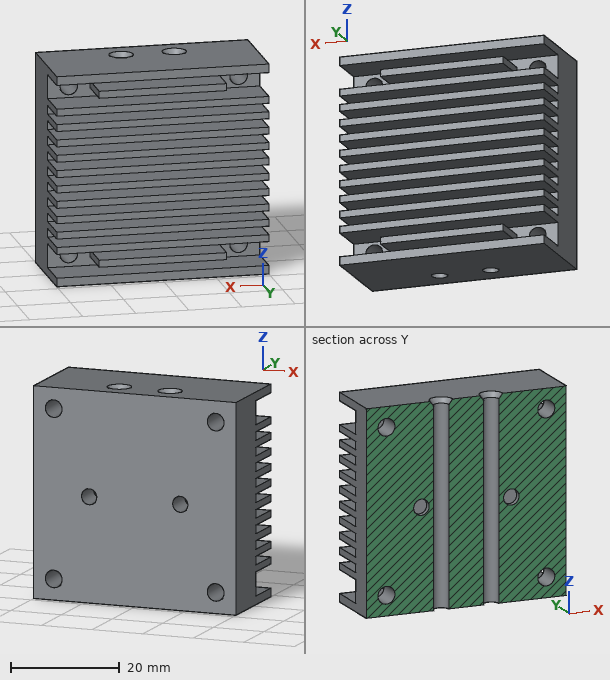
import cadquery as cq

side = 40.0
depth = 17.5
fin_height = 7.5
base_depth = depth - fin_height

groove_count = 13
groove_width = 1.6
end_fin_thickness = 1.65
inner_fin_count = groove_count - 1
inner_fin_thickness = (side - 2 * end_fin_thickness - groove_count * groove_width) / inner_fin_count
groove_pitch = groove_width + inner_fin_thickness

corner_hole_diameter = 3.3
corner_hole_inset = 4.0
corner_hole_offset = side / 2 - corner_hole_inset
notch_length = 2 * corner_hole_inset
notch_height = inner_fin_thickness + 2 * groove_width

blind_hole_diameter = 3.0
blind_hole_depth = 6.0
blind_hole_offset = 9.0

cross_hole_diameter = 3.0
cross_hole_offset = 5.0
cross_hole_y = base_depth / 2
countersink_diameter = 4.5
countersink_depth = 1.0


def make_block():
    """Solid block centred on X and Z, with its flat front face at Y = 0."""
    return cq.Workplane("XY").box(side, depth, side, centered=(True, False, True))


def front_holes(points, diameter, length):
    """Cylinders that start at the front face and run towards +Y."""
    return cq.Workplane("XZ").pushPoints(points).circle(diameter / 2).extrude(-length)


def cut_grooves(body):
    """Cut the grooves that leave the fins standing on the base plate."""
    first_groove_z = -side / 2 + end_fin_thickness + groove_width / 2
    for index in range(groove_count):
        groove = cq.Workplane("XY").box(side, fin_height, groove_width, centered=(True, False, True))
        groove_z = first_groove_z + index * groove_pitch
        body = body.cut(groove.translate((0, base_depth, groove_z)))
    return body


def cut_corner_mounts(body):
    """Drill the corner holes and remove both ends of the second fin from each edge."""
    second_fin_z = side / 2 - end_fin_thickness - groove_width - inner_fin_thickness / 2
    notch = cq.Workplane("XY").box(notch_length, fin_height, notch_height, centered=(True, False, True))
    corners = []
    for x_sign in (-1, 1):
        for z_sign in (-1, 1):
            corners.append((x_sign * corner_hole_offset, z_sign * corner_hole_offset))
            notch_x = x_sign * (side - notch_length) / 2
            body = body.cut(notch.translate((notch_x, base_depth, z_sign * second_fin_z)))
    return body.cut(front_holes(corners, corner_hole_diameter, depth))


def cut_blind_holes(body):
    """Drill the two blind holes on the horizontal centre line of the front face."""
    points = [(-blind_hole_offset, 0), (blind_hole_offset, 0)]
    return body.cut(front_holes(points, blind_hole_diameter, blind_hole_depth))


def cut_cross_holes(body):
    """Drill the two vertical through holes, countersunk at the top."""
    hole_profile = [
        (0, -side / 2),
        (cross_hole_diameter / 2, -side / 2),
        (cross_hole_diameter / 2, side / 2 - countersink_depth),
        (countersink_diameter / 2, side / 2),
        (0, side / 2),
    ]
    hole = cq.Workplane("XZ").polyline(hole_profile).close().revolve(360, (0, 0, 0), (0, 1, 0))
    for x in (-cross_hole_offset, cross_hole_offset):
        body = body.cut(hole.translate((x, cross_hole_y, 0)))
    return body


result = make_block()
result = cut_grooves(result)
result = cut_corner_mounts(result)
result = cut_blind_holes(result)
result = cut_cross_holes(result)